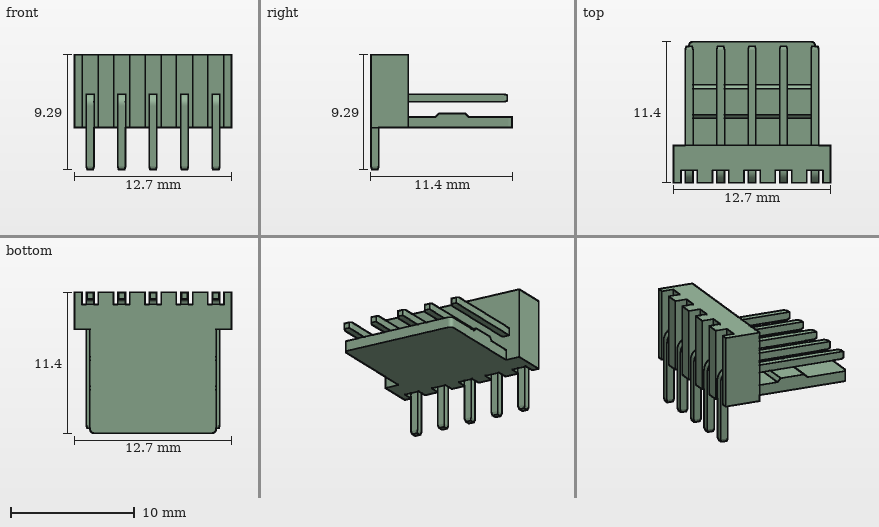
import cadquery as cq
import math


pin_count = 5
pin_pitch = 2.54
pin_size = 0.64
pin_axis_height = 2.4
pin_reach = 7.99
leg_reach = 3.39
bend_outer_radius = 0.93
bend_inner_radius = bend_outer_radius - pin_size
tip_length = 0.25
tip_inset = 0.08
tip_taper = math.degrees(math.atan(tip_inset / tip_length))

housing_width = pin_count * pin_pitch
housing_depth = 3.02
housing_height = 5.9
slot_width = 1.3
slot_depth = 1.0

plate_width = 10.2
plate_length = 8.38
plate_thickness = 0.88
plate_corner_radius = 0.34

ridge_start = 2.18
ridge_length = 2.69
ridge_height = 0.29

pin_positions = [(i - (pin_count - 1) / 2) * pin_pitch for i in range(pin_count)]


def make_housing():
    """Block with one vertical slot in its front face for each pin."""
    block = cq.Workplane("XY").box(
        housing_width, housing_depth, housing_height, centered=(True, False, False)
    )
    slots = (
        cq.Workplane("XY")
        .pushPoints([(x, slot_depth / 2) for x in pin_positions])
        .rect(slot_width, slot_depth)
        .extrude(housing_height)
    )
    return block.cut(slots)


def make_plate():
    """Flat plate with rounded far corners and a sloped ridge across it."""
    plate = (
        cq.Workplane("XY")
        .box(plate_width, plate_length, plate_thickness, centered=(True, False, False))
        .edges("|Z and >Y")
        .fillet(plate_corner_radius)
    )
    ridge = (
        cq.Workplane("YZ")
        .moveTo(ridge_start, plate_thickness)
        .line(ridge_height, ridge_height)
        .lineTo(ridge_start + ridge_length - ridge_height, plate_thickness + ridge_height)
        .line(ridge_height, -ridge_height)
        .close()
        .extrude(plate_width / 2, both=True)
    )
    return plate.union(ridge).translate((0, housing_depth, 0))


def make_pin():
    """Square pin bent down through a right angle, with both ends tapered."""
    pin_top = pin_axis_height + pin_size / 2
    pin_bottom = pin_top - pin_size
    mating_shoulder = housing_depth + pin_reach - tip_length
    leg_shoulder = tip_length - leg_reach
    bend_start = pin_top - bend_outer_radius

    bent_bar = (
        cq.Workplane("YZ")
        .moveTo(0, leg_shoulder)
        .lineTo(0, bend_start)
        .radiusArc((bend_outer_radius, pin_top), bend_outer_radius)
        .lineTo(mating_shoulder, pin_top)
        .lineTo(mating_shoulder, pin_bottom)
        .lineTo(bend_outer_radius, pin_bottom)
        .radiusArc((pin_size, bend_start), -bend_inner_radius)
        .lineTo(pin_size, leg_shoulder)
        .close()
        .extrude(pin_size / 2, both=True)
    )
    with_mating_tip = (
        bent_bar.faces(">Y")
        .workplane(centerOption="CenterOfBoundBox")
        .rect(pin_size, pin_size)
        .extrude(tip_length, taper=tip_taper)
    )
    return (
        with_mating_tip.faces("<Z")
        .workplane(centerOption="CenterOfBoundBox")
        .rect(pin_size, pin_size)
        .extrude(tip_length, taper=tip_taper)
    )


result = make_housing().union(make_plate())
pin = make_pin()
for x in pin_positions:
    result = result.union(pin.translate((x, 0, 0)))